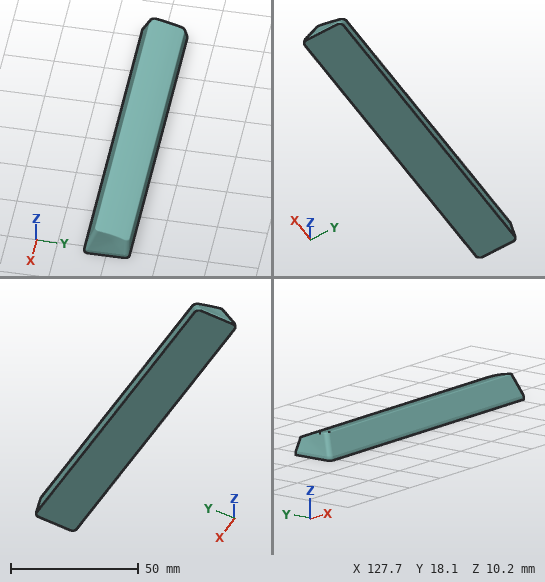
import cadquery as cq
import math

length = 127.7
depth = 18.1
corner_radius = 1.9
foot_height = 0.8
band_top = 1.5
band_inset = 0.1

front_height = 10.3
back_height = 6.3
crown_bulge = 0.5
crown_edge_radius = 0.5
trim_allowance = 0.3

side_inset = 3.2
front_inset = 4.3
back_inset = 0.4

crown_front = front_inset - depth / 2
crown_back = depth / 2 - back_inset
crown_depth = crown_back - crown_front
crown_middle = (crown_front + crown_back) / 2
crown_fall = front_height - back_height
crown_slope = math.atan2(crown_fall, crown_depth)
chord_middle_height = (front_height + back_height) / 2


def crown_point(y):
    """Point (y, z) on the crown: a straight fall from front to back plus a shallow bulge."""
    along = 2 * (y - crown_middle) / crown_depth
    z = chord_middle_height - along * crown_fall / 2 + crown_bulge * (1 - along**2)
    return (y, z)


def rounded_wire(plane, width, breadth):
    """Closed rounded rectangle centred on the plane origin."""
    x = width / 2
    y = breadth / 2
    r = corner_radius
    bend = r * (1 - math.sqrt(0.5))
    return (
        cq.Workplane(plane)
        .moveTo(r - x, -y)
        .lineTo(x - r, -y)
        .threePointArc((x - bend, bend - y), (x, r - y))
        .lineTo(x, y - r)
        .threePointArc((x - bend, y - bend), (x - r, y))
        .lineTo(r - x, y)
        .threePointArc((bend - x, y - bend), (-x, y - r))
        .lineTo(-x, r - y)
        .threePointArc((bend - x, bend - y), (r - x, -y))
        .close()
        .val()
    )


def level_wire(z, inset):
    """Skirt outline at height z, drawn in by the inset on every side."""
    plane = cq.Plane(origin=(0, 0, z))
    return rounded_wire(plane, length - 2 * inset, depth - 2 * inset)


def ruled_body(lower, upper):
    """Solid with straight-ruled walls between two outlines."""
    return cq.Workplane(cq.Solid.makeLoft([lower, upper], True))


foot_bottom_wire = level_wire(0, 0)
foot_top_wire = level_wire(foot_height, 0)
band_wire = level_wire(band_top, band_inset)
crown_plane = cq.Plane(
    origin=(0, crown_middle, chord_middle_height + crown_bulge + trim_allowance),
    xDir=(1, 0, 0),
    normal=(0, math.sin(crown_slope), math.cos(crown_slope)),
)
crown_wire = rounded_wire(crown_plane, length - 2 * side_inset, crown_depth / math.cos(crown_slope))

under_crown = (
    cq.Workplane("YZ")
    .moveTo(-depth, 0)
    .lineTo(*crown_point(-depth))
    .threePointArc(crown_point(crown_middle), crown_point(depth))
    .lineTo(depth, 0)
    .close()
    .extrude(length, both=True)
)

upper_body = ruled_body(band_wire, crown_wire).intersect(under_crown)
crown_edges = upper_body.faces("%CYLINDER").edges()
upper_body = crown_edges.fillet(crown_edge_radius)

foot = ruled_body(foot_bottom_wire, foot_top_wire)
band = ruled_body(foot_top_wire, band_wire)
result = foot.union(band).union(upper_body)